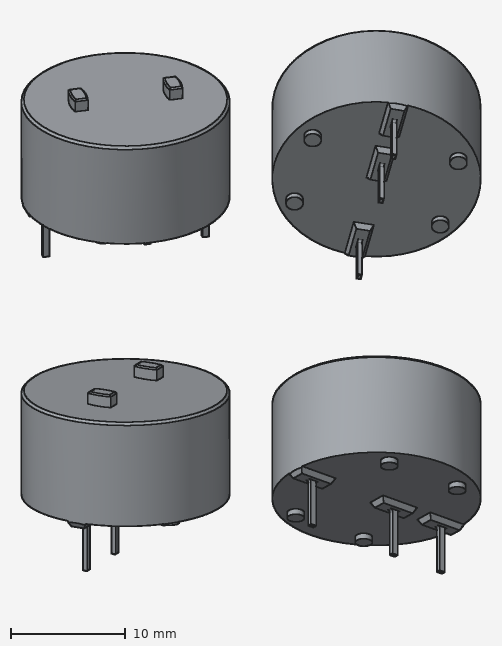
import cadquery as cq
import math

body_diameter = 18.2
body_height = 9.5
body_chamfer = 0.24

key_length = 2.24
key_end_width = 1.16
key_bow = 0.136
key_height = 1.13
key_offset = 4.28
key_chamfer = 0.15

boss_diameter = 1.5
boss_offset_x = 6.5
boss_offset_y = 3.8

pad_height = 0.53
pad_length = 3.82
pad_width = 1.8
pad_taper = 0.3

pin_positions = (7.2, 1.93, -7.2)
pin_drop = 4.93
pin_thickness = 0.4
pin_width = 0.58
pin_tip_chamfer = 0.07
pin_root_radius = 0.2


def make_body():
    body = cq.Workplane("XY").circle(body_diameter / 2).extrude(body_height)
    return body.faces(">Z").edges().chamfer(body_chamfer)


def make_key(center_y):
    half_length = key_length / 2
    half_width = key_end_width / 2
    crown = half_width + key_bow
    key = (
        cq.Workplane("XY", origin=(0, center_y, body_height))
        .moveTo(-half_length, -half_width)
        .threePointArc((0, -crown), (half_length, -half_width))
        .lineTo(half_length, half_width)
        .threePointArc((0, crown), (-half_length, half_width))
        .close()
        .extrude(key_height)
    )
    return key.faces(">Z").edges().chamfer(key_chamfer)


def make_bosses():
    """Four bosses in a rectangle, as tall as the pads."""
    return (
        cq.Workplane("XY")
        .rect(2 * boss_offset_x, 2 * boss_offset_y, forConstruction=True)
        .vertices()
        .circle(boss_diameter / 2)
        .extrude(-pad_height)
    )


def make_pad(center_y):
    """Block that narrows downward, trimmed to the round body."""
    pad = (
        cq.Workplane("XY")
        .center(0, center_y)
        .rect(pad_width, pad_length)
        .workplane(offset=-pad_height)
        .rect(pad_width - 2 * pad_taper, pad_length - 2 * pad_taper)
        .loft(ruled=True)
    )
    body_envelope = cq.Workplane("XY").circle(body_diameter / 2).extrude(-pad_height)
    return pad.intersect(body_envelope)


def make_pin(center_y):
    """Flat pin with a chamfered tip and a rounded flare where it leaves the pad."""
    pin = (
        cq.Workplane("XY")
        .center(0, center_y)
        .rect(pin_thickness, pin_width)
        .extrude(-pin_drop)
        .faces("<Z")
        .edges()
        .chamfer(pin_tip_chamfer)
    )
    half_width = pin_width / 2
    root_half_width = half_width + pin_root_radius
    flare_bottom = -pad_height - pin_root_radius
    arc_inset = pin_root_radius * (1 - math.sqrt(0.5))
    arc_y = half_width + arc_inset
    arc_z = -pad_height - arc_inset
    flare = (
        cq.Workplane("YZ", origin=(0, center_y, 0))
        .moveTo(-half_width, flare_bottom)
        .lineTo(half_width, flare_bottom)
        .threePointArc((arc_y, arc_z), (root_half_width, -pad_height))
        .lineTo(-root_half_width, -pad_height)
        .threePointArc((-arc_y, arc_z), (-half_width, flare_bottom))
        .close()
        .extrude(pin_thickness / 2, both=True)
    )
    return pin.union(flare)


result = make_body().union(make_bosses())
for key_y in (-key_offset, key_offset):
    result = result.union(make_key(key_y))
for pin_y in pin_positions:
    result = result.union(make_pad(pin_y)).union(make_pin(pin_y))